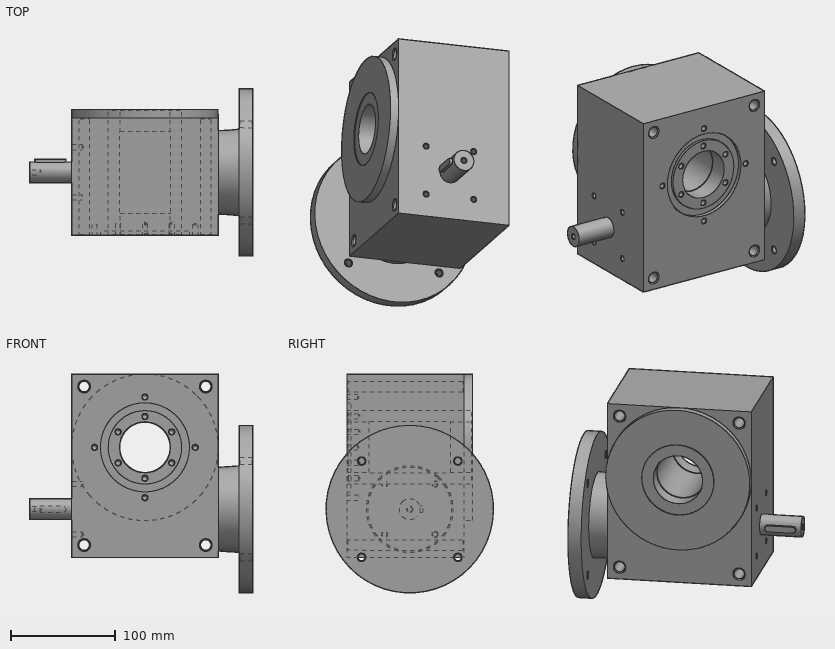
import cadquery as cq
import math


HOUSING_WIDTH = 140.0
HOUSING_LEFT = -HOUSING_WIDTH / 2
HOUSING_RIGHT = HOUSING_WIDTH / 2
HOUSING_TOP = HOUSING_WIDTH / 2
HOUSING_HEIGHT = 175.0
HOUSING_BOTTOM = HOUSING_TOP - HOUSING_HEIGHT
FRONT_FACE = -60.0
BACK_FACE = 52.0
BACK_DISC_DIAMETER = HOUSING_WIDTH
BACK_DISC_THICKNESS = 8.0
REAR_END = BACK_FACE + BACK_DISC_THICKNESS

INPUT_DROP = 59.0
NECK_LENGTH = 20.0
NECK_START_DIAMETER = 80.0
NECK_END_DIAMETER = 82.9
FLANGE_DIAMETER = 160.0
FLANGE_THICKNESS = 13.0
FLANGE_BOLT_CIRCLE = 130.0
FLANGE_HOLE_COUNT = 4
FLANGE_FIRST_ANGLE = 45

SLEEVE_DIAMETER = 70.0
SLEEVE_RECESS = 1.0
SLEEVE_FRONT = FRONT_FACE + SLEEVE_RECESS
SLEEVE_LENGTH = REAR_END - SLEEVE_RECESS - SLEEVE_FRONT
SLEEVE_BORE = 48.0
LAND_LENGTH = 20.0
RELIEF_DIAMETER = 49.0
SLEEVE_BOLT_CIRCLE = 59.0
SLEEVE_HOLE_COUNT = 6
SLEEVE_FIRST_ANGLE = 30
GROOVE_DIAMETER = 85.0
GROOVE_DEPTH = 4.0

SHAFT_DIAMETER = 20.0
SHAFT_LENGTH = 40.0
KEY_WIDTH = 6.0
KEY_LENGTH = 30.0
KEY_END_GAP = 4.7
KEY_TOP = 12.8

SMALL_DRILL = 5.0
SMALL_MOUTH = 6.0
SMALL_DEPTH = 10.0
DRILL_POINT_ANGLE = 118
FLANGE_DRILL = 6.5
FLANGE_MOUTH = 8.0
CORNER_DRILL = 10.0
CORNER_MOUTH = 12.1
CORNER_INSET = 12.0
FACE_BOLT_CIRCLE = 96.0
FACE_HOLE_COUNT = 4
SIDE_HOLE_SPACING = 48.1

X_AXIS = cq.Vector(1, 0, 0)
Y_AXIS = cq.Vector(0, 1, 0)


def cylinder(diameter, length, start, direction):
    return cq.Workplane(cq.Solid.makeCylinder(diameter / 2, length, start, direction))


def cone(start_diameter, end_diameter, length, start, direction):
    return cq.Workplane(cq.Solid.makeCone(start_diameter / 2, end_diameter / 2, length, start, direction))


def mouth(drill, mouth_diameter, start, direction):
    """45 degree countersink that opens at the start point."""
    return cone(mouth_diameter, drill, (mouth_diameter - drill) / 2, start, direction)


def blind_hole(start, direction):
    """Small drilled hole with a countersunk mouth and a conical drill point."""
    point_length = SMALL_DRILL / 2 / math.tan(math.radians(DRILL_POINT_ANGLE / 2))
    bottom = start + direction * SMALL_DEPTH
    hole = cylinder(SMALL_DRILL, SMALL_DEPTH, start, direction)
    hole = hole.union(cone(SMALL_DRILL, 0, point_length, bottom, direction))
    return hole.union(mouth(SMALL_DRILL, SMALL_MOUTH, start, direction))


def through_hole(drill, mouth_diameter, start, direction, length):
    """Drilled through hole with a countersink at both ends."""
    end = start + direction * length
    hole = cylinder(drill, length, start, direction)
    hole = hole.union(mouth(drill, mouth_diameter, start, direction))
    return hole.union(mouth(drill, mouth_diameter, end, direction * -1))


def circle_points(circle_diameter, count, first_angle):
    """Pairs of offsets evenly spaced on a bolt circle."""
    angles = [math.radians(first_angle + 360 / count * i) for i in range(count)]
    radius = circle_diameter / 2
    return [(radius * math.cos(angle), radius * math.sin(angle)) for angle in angles]


def make_housing():
    depth = BACK_FACE - FRONT_FACE
    housing = cq.Workplane().box(HOUSING_WIDTH, depth, HOUSING_HEIGHT, centered=False)
    housing = housing.translate((HOUSING_LEFT, FRONT_FACE, HOUSING_BOTTOM))
    disc_start = cq.Vector(0, BACK_FACE, 0)
    housing = housing.union(cylinder(BACK_DISC_DIAMETER, BACK_DISC_THICKNESS, disc_start, Y_AXIS))

    neck_start = cq.Vector(HOUSING_RIGHT, 0, -INPUT_DROP)
    flange_start = neck_start + X_AXIS * NECK_LENGTH
    housing = housing.union(cone(NECK_START_DIAMETER, NECK_END_DIAMETER, NECK_LENGTH, neck_start, X_AXIS))
    housing = housing.union(cylinder(FLANGE_DIAMETER, FLANGE_THICKNESS, flange_start, X_AXIS))
    for y, z in circle_points(FLANGE_BOLT_CIRCLE, FLANGE_HOLE_COUNT, FLANGE_FIRST_ANGLE):
        hole_start = flange_start + cq.Vector(0, y, z)
        housing = housing.cut(through_hole(FLANGE_DRILL, FLANGE_MOUTH, hole_start, X_AXIS, FLANGE_THICKNESS))

    front_center = cq.Vector(0, FRONT_FACE, 0)
    housing = housing.cut(cylinder(SLEEVE_DIAMETER, REAR_END - FRONT_FACE, front_center, Y_AXIS))
    housing = housing.cut(cylinder(GROOVE_DIAMETER, GROOVE_DEPTH, front_center, Y_AXIS))

    for x in (HOUSING_LEFT + CORNER_INSET, HOUSING_RIGHT - CORNER_INSET):
        for z in (HOUSING_BOTTOM + CORNER_INSET, HOUSING_TOP - CORNER_INSET):
            hole_start = cq.Vector(x, FRONT_FACE, z)
            housing = housing.cut(through_hole(CORNER_DRILL, CORNER_MOUTH, hole_start, Y_AXIS, depth))

    for x, z in circle_points(FACE_BOLT_CIRCLE, FACE_HOLE_COUNT, 0):
        housing = housing.cut(blind_hole(cq.Vector(x, FRONT_FACE, z), Y_AXIS))

    half_spacing = SIDE_HOLE_SPACING / 2
    for y in (-half_spacing, half_spacing):
        for z_offset in (-half_spacing, half_spacing):
            hole_start = cq.Vector(HOUSING_LEFT, y, z_offset - INPUT_DROP)
            housing = housing.cut(blind_hole(hole_start, X_AXIS))
    return housing


def make_output_sleeve():
    front_center = cq.Vector(0, SLEEVE_FRONT, 0)
    sleeve = cylinder(SLEEVE_DIAMETER, SLEEVE_LENGTH, front_center, Y_AXIS)
    sleeve = sleeve.cut(cylinder(SLEEVE_BORE, SLEEVE_LENGTH, front_center, Y_AXIS))
    relief_start = front_center + Y_AXIS * LAND_LENGTH
    relief_length = SLEEVE_LENGTH - 2 * LAND_LENGTH
    sleeve = sleeve.cut(cylinder(RELIEF_DIAMETER, relief_length, relief_start, Y_AXIS))
    for x, z in circle_points(SLEEVE_BOLT_CIRCLE, SLEEVE_HOLE_COUNT, SLEEVE_FIRST_ANGLE):
        sleeve = sleeve.cut(blind_hole(cq.Vector(x, SLEEVE_FRONT, z), Y_AXIS))
    return sleeve


def make_input_shaft():
    free_end = cq.Vector(HOUSING_LEFT - SHAFT_LENGTH, 0, -INPUT_DROP)
    shaft = cylinder(SHAFT_DIAMETER, SHAFT_LENGTH, free_end, X_AXIS)
    key_center_x = free_end.x + KEY_END_GAP + KEY_LENGTH / 2
    key = cq.Workplane("XZ").slot2D(KEY_LENGTH, KEY_WIDTH).extrude(-KEY_TOP)
    shaft = shaft.union(key.translate((key_center_x, 0, -INPUT_DROP)))
    return shaft.cut(blind_hole(free_end, X_AXIS))


housing = make_housing()
output_sleeve = make_output_sleeve()
input_shaft = make_input_shaft()

result = cq.Compound.makeCompound([housing.val(), output_sleeve.val(), input_shaft.val()])